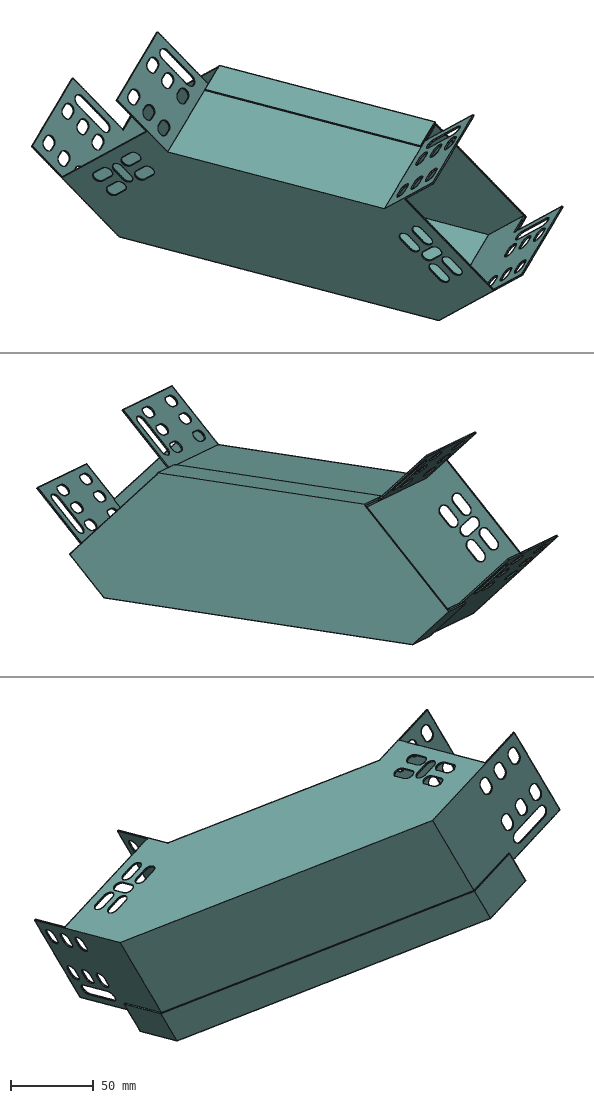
import cadquery as cq
import math

sheet = 1.0
bend_angle = 45
height = 81.0
depth = 80.5
floor_length = 208.7
wall_reach = 52.0
tab_length = 27.5
tab_width = 64.7
cover_lip = 22.0

tab_slot_length = 11.5
tab_slot_width = 7.5
tab_slots_per_row = 3
tab_slot_pitch = 13.5
first_tab_slot = 8.5
tab_slot_rows = (12.0, 42.2)
long_slot_length = 30.3
long_slot_width = 8.0
long_slot_row = 55.7
long_slot_setback = 23.0

wall_slot_length = 15.5
wall_slot_width = 7.5
wall_slot_columns = (11.0, 23.2)
wall_slot_spacing = 26.7
cross_slot_setback = 16.0

roll = -0.6
pitch = -1.6
yaw = 1.3

half_bend = math.tan(math.radians(bend_angle / 2))
cos_bend = math.cos(math.radians(bend_angle))
sin_bend = math.sin(math.radians(bend_angle))
tip_reach = wall_reach + tab_length
cover_reach = height * half_bend
cut_depth = 4 * sheet


def bend_point(level):
    """Right-hand bend, at a height above the outside of the floor."""
    return (floor_length / 2 - level * half_bend, level)


def leg_point(reach, level):
    """Point on the right leg: reach along it from the floor bend, level square to it."""
    return (
        floor_length / 2 + reach * cos_bend - level * sin_bend,
        reach * sin_bend + level * cos_bend,
    )


def symmetric_plate(right_points, front, back):
    """Plate between two Y positions, square to Y; its outline is the right half and its mirror image."""
    left_points = [(-x, z) for x, z in reversed(right_points)]
    outline = cq.Workplane("XZ", origin=(0, front, 0)).polyline(right_points + left_points).close()
    return outline.extrude(front - back)


def bent_strip(level, reach, front, back):
    """Strip one sheet thick, lying above a level and bent up along both legs."""
    upper = level + sheet
    outline = [bend_point(level), leg_point(reach, level), leg_point(reach, upper), bend_point(upper)]
    return symmetric_plate(outline, front, back)


def flat_strip(level, front, back):
    """Strip one sheet thick, lying above a level and ending at the bends."""
    return symmetric_plate([bend_point(level), bend_point(level + sheet)], front, back)


def both_sides(shape):
    """The right-hand shape together with its mirror image."""
    return shape.union(shape.mirror("YZ"))


def tab_slots(level):
    """Cutters for the slots of the right-hand and left-hand tab at one level."""
    x, z = leg_point(tip_reach, level)
    tab_plane = cq.Plane(origin=(x, 0, z), xDir=(-cos_bend, 0, -sin_bend), normal=(sin_bend, 0, -cos_bend))
    row_slots = [
        (first_tab_slot + i * tab_slot_pitch, row)
        for i in range(tab_slots_per_row)
        for row in tab_slot_rows
    ]
    face = cq.Workplane(tab_plane)
    slots = (
        face.pushPoints(row_slots)
        .slot2D(tab_slot_length, tab_slot_width, 90)
        .extrude(cut_depth, both=True)
    )
    long_slot = (
        face.center(long_slot_setback, long_slot_row)
        .slot2D(long_slot_length, long_slot_width)
        .extrude(cut_depth, both=True)
    )
    return both_sides(slots.union(long_slot))


def wall_slots():
    """Cutters for the slots at both ends of the channel wall."""
    x, z = leg_point(wall_reach, height / 2)
    end_plane = cq.Plane(origin=(x, 0, z), xDir=(-cos_bend, 0, -sin_bend), normal=(0, -1, 0))
    pairs = [
        (column, side * wall_slot_spacing / 2)
        for column in wall_slot_columns
        for side in (-1, 1)
    ]
    face = cq.Workplane(end_plane)
    slots = (
        face.pushPoints(pairs)
        .slot2D(wall_slot_length, wall_slot_width, 90)
        .extrude(cut_depth, both=True)
    )
    cross_slot = (
        face.center(cross_slot_setback, 0)
        .slot2D(wall_slot_length, wall_slot_width)
        .extrude(cut_depth, both=True)
    )
    return both_sides(slots.union(cross_slot))


def make_channel():
    """Front wall with floor and roof, both ending in slotted tabs."""
    roof_level = height - sheet
    wall_outline = [
        bend_point(0),
        leg_point(wall_reach, 0),
        leg_point(wall_reach, height),
        bend_point(height),
    ]
    channel = symmetric_plate(wall_outline, 0, sheet)
    channel = channel.union(bent_strip(0, cover_reach, 0, depth))
    channel = channel.union(bent_strip(0, tip_reach, 0, tab_width))
    channel = channel.union(flat_strip(roof_level, 0, depth))
    channel = channel.union(bent_strip(roof_level, tip_reach, 0, tab_width))
    channel = channel.cut(tab_slots(0)).cut(tab_slots(height))
    return channel.cut(wall_slots())


def make_cover():
    """Back wall with two lips that lap over the outside of the channel."""
    lip_front = depth - cover_lip
    back = depth + sheet
    wall_outline = [
        bend_point(-sheet),
        leg_point(cover_reach, -sheet),
        bend_point(height),
        bend_point(height + sheet),
    ]
    cover = symmetric_plate(wall_outline, depth, back)
    cover = cover.union(bent_strip(-sheet, cover_reach, lip_front, back))
    return cover.union(flat_strip(height, lip_front, back))


def tilt(body):
    """Turn a body about X, then Y, then Z, all through the middle of the floor's front edge."""
    origin = (0, 0, 0)
    body = body.rotate(origin, (1, 0, 0), roll)
    body = body.rotate(origin, (0, 1, 0), pitch)
    return body.rotate(origin, (0, 0, 1), yaw)


channel = tilt(make_channel())
cover = tilt(make_cover())

result = cq.Compound.makeCompound([channel.solids().val(), cover.solids().val()])